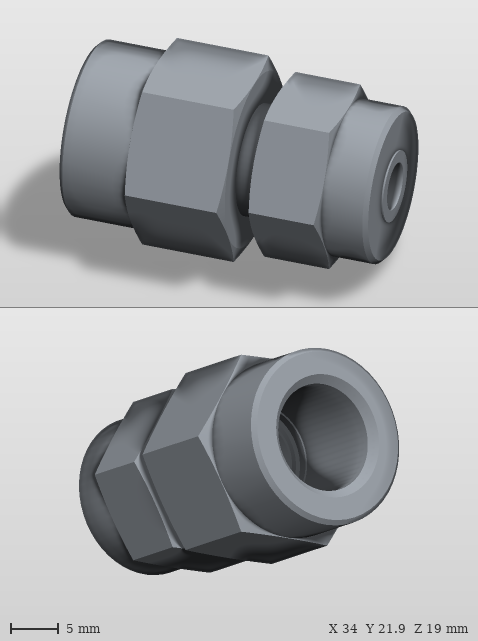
import cadquery as cq
import math


total_length = 34.0

rim_chamfer = 0.48
hex_chamfer_angle = 15.0

collar_length = 7.5
collar_radius = 9.45
body_hex_flats = 19.0
body_hex_length = 10.95
neck_radius = 6.02
nipple_radius = 3.85
bore_radius = 2.55

mouth_radius = 6.55
socket_radius = 5.7
socket_depth = 11.9
relief_radius = 5.5
relief_depth = 1.02

cone_base_radius = 5.0
cone_tip_radius = 4.15
seat_mouth_radius = 3.88
seat_radius = 3.03
seat_depth = 1.7
seat_angle = 30.0

gap = 2.38
nut_hex_flats = 17.0
nut_hex_length = 7.95
nut_collar_radius = 8.4
nipple_overhang = 0.2
neck_engagement = 6.8

seat_slope = math.tan(math.radians(seat_angle))
body_hex_end = collar_length + body_hex_length
nut_start = body_hex_end + gap
nut_hex_end = nut_start + nut_hex_length
nut_end = total_length - nipple_overhang
neck_end = nut_start + neck_engagement
socket_floor = socket_depth + relief_depth
cone_tip = socket_floor - (cone_base_radius - cone_tip_radius) * seat_slope
seat_mouth_length = (seat_mouth_radius - seat_radius) * seat_slope


def turned(profile):
    """Revolve a closed list of (x, radius) points about the X axis."""
    return cq.Workplane("XY").polyline(profile).close().revolve(360, (0, 0, 0), (1, 0, 0))


def cylinder(start, end, radius):
    """Cylinder along X between two positions."""
    return cq.Workplane("YZ").workplane(offset=start).circle(radius).extrude(end - start)


def chamfered_hexagon(start, end, flats, chamfer_radius):
    """Hexagon along X with flats at the top and bottom and conically turned corners."""
    corner_radius = flats / math.sqrt(3)
    chamfer_length = (corner_radius - chamfer_radius) * math.tan(math.radians(hex_chamfer_angle))
    prism = cq.Workplane("YZ").workplane(offset=start).polygon(6, 2 * corner_radius).extrude(end - start)
    envelope = turned([
        (start, 0),
        (start, chamfer_radius),
        (start + chamfer_length, corner_radius),
        (end - chamfer_length, corner_radius),
        (end, chamfer_radius),
        (end, 0),
    ])
    return prism.intersect(envelope)


def make_socket_cutter():
    """Space inside the body: socket around the sealing cone, tube seat and through bore."""
    return turned([
        (0, 0),
        (0, mouth_radius),
        (mouth_radius - socket_radius, socket_radius),
        (socket_depth, socket_radius),
        (socket_depth, relief_radius),
        (socket_floor, relief_radius),
        (socket_floor, cone_base_radius),
        (cone_tip, cone_tip_radius),
        (cone_tip, seat_mouth_radius),
        (cone_tip + seat_mouth_length, seat_radius),
        (cone_tip + seat_depth, seat_radius),
        (cone_tip + seat_depth, bore_radius),
        (total_length, bore_radius),
        (total_length, 0),
    ])


def make_neck_and_nipple():
    """Stepped shank that runs from the body hexagon through the nut."""
    neck = cylinder(body_hex_end, neck_end, neck_radius)
    return neck.union(cylinder(neck_end, total_length, nipple_radius))


def make_fitting_body():
    collar = cylinder(0, collar_length, collar_radius).faces("<X").chamfer(rim_chamfer)
    hexagon = chamfered_hexagon(collar_length, body_hex_end, body_hex_flats, collar_radius)
    outside = collar.union(hexagon).union(make_neck_and_nipple())
    return outside.cut(make_socket_cutter())


def make_clamping_nut():
    hexagon = chamfered_hexagon(nut_start, nut_hex_end, nut_hex_flats, nut_collar_radius)
    collar = cylinder(nut_hex_end, nut_end, nut_collar_radius).faces(">X").chamfer(rim_chamfer)
    return hexagon.union(collar).cut(make_neck_and_nipple())


fitting_body = make_fitting_body()
clamping_nut = make_clamping_nut()

result = cq.Compound.makeCompound([fitting_body.solids().val(), clamping_nut.solids().val()])